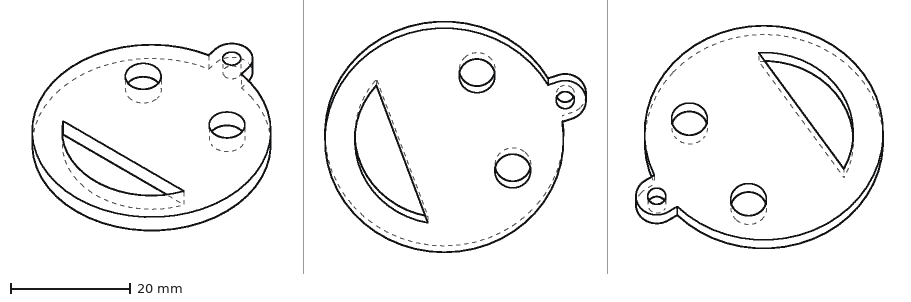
import cadquery as cq

overall_length = 45.0
disc_diameter = 40.0
thickness = 3.3
tab_width = 7.0
ring_hole_diameter = 3.0
eye_diameter = 6.0
eye_offset = 9.0
mouth_radius = 15.0

disc_radius = disc_diameter / 2
tab_radius = tab_width / 2
tab_center_y = overall_length - disc_radius - tab_radius
mouth_top_y = -mouth_radius / 2
mouth_half_width = (mouth_radius**2 - mouth_top_y**2) ** 0.5


def cylinder(diameter, x, y):
    """Full-thickness cylinder standing on the XY plane."""
    return cq.Workplane("XY").center(x, y).circle(diameter / 2).extrude(thickness)


body = cylinder(disc_diameter, 0, 0)

tab_neck = (
    cq.Workplane("XY")
    .center(0, tab_center_y / 2)
    .rect(tab_width, tab_center_y)
    .extrude(thickness)
)
tab_end = cylinder(tab_width, 0, tab_center_y)
body = body.union(tab_neck).union(tab_end)

body = body.cut(cylinder(ring_hole_diameter, 0, tab_center_y))

for side in (-1, 1):
    body = body.cut(cylinder(eye_diameter, side * eye_offset, eye_offset))

mouth = (
    cq.Workplane("XY")
    .moveTo(-mouth_half_width, mouth_top_y)
    .threePointArc((0, -mouth_radius), (mouth_half_width, mouth_top_y))
    .close()
    .extrude(thickness)
)
result = body.cut(mouth)